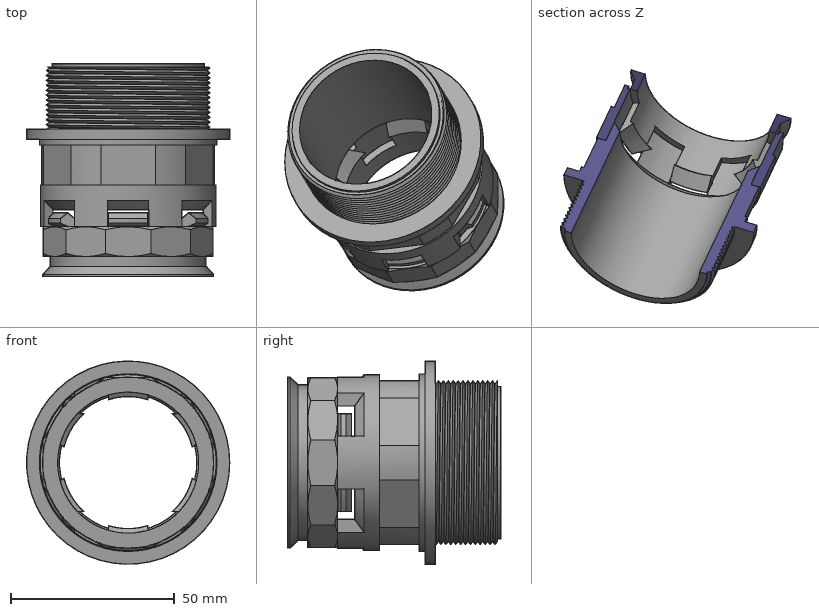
import cadquery as cq
import math


TOTAL_LENGTH = 64.97

SECTOR_ANGLE = math.radians(30)
SLEEVE_RADIUS = 23.8
NECK_START_Y = 20.4
FINGER_ROOT_Y = 7.1

BORE_RADIUS = 20.9
BORE_START_Y = 23.4
HEX_ACROSS_FLATS = 50.0
HEX_ROUND_RADIUS = 26.35
COLLAR_RADIUS = 27.1
COLLAR_START_Y = 40.1
FLANGE_RADIUS = 31.0
FLANGE_START_Y = 41.9
FLANGE_END_Y = 45.0
THREAD_RADIUS = 25.0
THREAD_PITCH = 1.5
THREAD_ROOT_RADIUS = 24.1
THREAD_END_Y = 64.0
THREAD_START_ANGLE = 143.0
RIDGE_HALF_WIDTH = 0.68
RIDGE_OVERLAP = 0.05
RIDGE_EXTRA_TURNS = 2.3
END_RADIUS = 23.25

CAP_START_Y = 6.1
CAP_END_Y = 28.0
COUNTERBORE_RADIUS = 24.6
PRISM_SIDES = 12
PRISM_APOTHEM = 25.9
PRISM_END_RADIUS = 25.85
PRISM_CHAMFER_LENGTH = 0.95
CAGE_RADIUS = 26.85
CAGE_START_Y = 15.25
WINDOW_OUTER_END_Y = 23.3
WINDOW_HALF_WIDTH = 6.25
WINDOW_SIDE_OFFSET = 5.8
WINDOW_SIDE_X = 16.4

ENTRY_RADIUS = 21.5
LIP_RADIUS = 26.1
LIP_EDGE_Y = 0.7
LIP_BACK_Y = 3.15
FINGER_HALF_WIDTH = 6.05
FINGER_SIDE_OFFSET = 5.65
FINGER_TOP_Z = 14.95
TOOTH_START_Y = 14.8
TOOTH_RADIUS = 20.1
TOOTH_TIP_Y = 15.6
FINGER_PEAK_RADIUS = 23.7
FINGER_PEAK_Y = 19.5
HOOK_RADIUS = 25.5
HOOK_BASE_Y = 15.4
HOOK_START_Y = 16.3
HOOK_END_Y = 17.7

REACH = 40.0


def revolved(points):
    """Solid of revolution about Y from (radius, y) points."""
    return cq.Workplane("XY").polyline(points).close().revolve(360, (0, 0, 0), (0, 1, 0))


def tube(outer, inner, start_y, end_y):
    return revolved([(inner, start_y), (outer, start_y), (outer, end_y), (inner, end_y)])


def prism(points, start_y, end_y):
    """Prism along Y with an outline of (x, z) points."""
    outline = cq.Workplane("XZ", origin=(0, end_y, 0)).polyline(points).close()
    return outline.extrude(end_y - start_y)


def regular_prism(sides, apothem, turn, start_y, end_y):
    """Regular prism along Y, turned about its axis from a corner on +X."""
    corner_diameter = 2 * apothem / math.cos(math.pi / sides)
    outline = cq.Workplane("XZ", origin=(0, end_y, 0)).transformed(rotate=(0, 0, turn))
    return outline.polygon(sides, corner_diameter).extrude(end_y - start_y)




def low_side(offset, distance):
    """Point on the side next to the horizontal plane, parallel to the sector centre line."""
    x = distance * math.cos(SECTOR_ANGLE) + offset * math.sin(SECTOR_ANGLE)
    z = distance * math.sin(SECTOR_ANGLE) - offset * math.cos(SECTOR_ANGLE)
    return (x, z)


def lateral_window_outline():
    corner_run = WINDOW_SIDE_X - WINDOW_SIDE_OFFSET * math.sin(SECTOR_ANGLE)
    return [
        low_side(WINDOW_SIDE_OFFSET, corner_run / math.cos(SECTOR_ANGLE)),
        low_side(WINDOW_SIDE_OFFSET, REACH),
        (REACH, REACH),
        (WINDOW_SIDE_X, REACH),
    ]


def lateral_finger_outline():
    return [
        low_side(FINGER_SIDE_OFFSET, 0),
        low_side(FINGER_SIDE_OFFSET, REACH),
        (REACH, FINGER_TOP_Z),
        (0, FINGER_TOP_Z),
    ]


def six_sectors(half_width, lateral_outline, start_y, end_y):
    """Top and bottom sectors, and the lateral sector mirrored into four quadrants."""
    sectors = cq.Workplane("XY")
    for z_sign in (1, -1):
        far = z_sign * REACH
        upright = [(-half_width, 0), (half_width, 0), (half_width, far), (-half_width, far)]
        sectors = sectors.add(prism(upright, start_y, end_y))
        for x_sign in (1, -1):
            points = [(x_sign * x, z_sign * z) for x, z in lateral_outline]
            sectors = sectors.add(prism(points, start_y, end_y))
    return sectors.combine()




def make_neck():
    """Neck inside the cap, with a flared mouth."""
    return revolved([
        (BORE_RADIUS, BORE_START_Y),
        (SLEEVE_RADIUS, NECK_START_Y),
        (SLEEVE_RADIUS, CAP_END_Y),
        (BORE_RADIUS, CAP_END_Y),
    ])


def make_hexagon():
    hexagon = regular_prism(6, HEX_ACROSS_FLATS / 2, 0, CAP_END_Y, COLLAR_START_Y)
    return hexagon.intersect(tube(HEX_ROUND_RADIUS, BORE_RADIUS, CAP_END_Y, COLLAR_START_Y))


def make_thread_ridge():
    """Left-handed sharp ridge, cut level with the flange and with the end of the thread."""
    base_radius = THREAD_ROOT_RADIUS - RIDGE_OVERLAP
    flank_slope = RIDGE_HALF_WIDTH / (THREAD_RADIUS - THREAD_ROOT_RADIUS)
    base_half_width = flank_slope * (THREAD_RADIUS - base_radius)
    length = THREAD_END_Y - FLANGE_END_Y + RIDGE_EXTRA_TURNS * THREAD_PITCH
    helix = cq.Wire.makeHelix(THREAD_PITCH, length, THREAD_ROOT_RADIUS, lefthand=True)
    ridge = (
        cq.Workplane("XZ")
        .polyline([
            (base_radius, -base_half_width),
            (THREAD_RADIUS, 0),
            (base_radius, base_half_width),
        ])
        .close()
        .sweep(cq.Workplane(helix), isFrenet=True)
    )
    ridge = ridge.rotate((0, 0, 0), (0, 0, 1), THREAD_START_ANGLE)
    ridge = ridge.rotate((0, 0, 0), (1, 0, 0), -90)
    ridge = ridge.translate((0, FLANGE_END_Y - THREAD_PITCH, 0))
    return ridge.intersect(tube(REACH, BORE_RADIUS, FLANGE_END_Y, THREAD_END_Y))


def make_base():
    connection = revolved([
        (BORE_RADIUS, COLLAR_START_Y),
        (COLLAR_RADIUS, COLLAR_START_Y),
        (COLLAR_RADIUS, FLANGE_START_Y),
        (FLANGE_RADIUS, FLANGE_START_Y),
        (FLANGE_RADIUS, FLANGE_END_Y),
        (THREAD_ROOT_RADIUS, FLANGE_END_Y),
        (THREAD_ROOT_RADIUS, THREAD_END_Y),
        (END_RADIUS, THREAD_END_Y),
        (END_RADIUS, TOTAL_LENGTH),
        (BORE_RADIUS, TOTAL_LENGTH),
    ])
    return connection.union(make_thread_ridge()).union(make_hexagon()).union(make_neck())




def make_wrench_section():
    """Twelve-sided section with turned edges and a counterbored entry."""
    corner_radius = PRISM_APOTHEM / math.cos(math.pi / PRISM_SIDES)
    turned = revolved([
        (COUNTERBORE_RADIUS, CAP_START_Y),
        (PRISM_END_RADIUS, CAP_START_Y),
        (corner_radius, CAP_START_Y + PRISM_CHAMFER_LENGTH),
        (corner_radius, CAGE_START_Y - PRISM_CHAMFER_LENGTH),
        (PRISM_END_RADIUS, CAGE_START_Y),
        (SLEEVE_RADIUS, CAGE_START_Y),
        (SLEEVE_RADIUS, FINGER_ROOT_Y),
        (COUNTERBORE_RADIUS, FINGER_ROOT_Y),
    ])
    flat_up = 180 / PRISM_SIDES
    return turned.intersect(
        regular_prism(PRISM_SIDES, PRISM_APOTHEM, flat_up, CAP_START_Y, CAGE_START_Y)
    )


def make_windows():
    """Six window cutters whose end wall slopes inward."""
    slope = (WINDOW_OUTER_END_Y - NECK_START_Y) / (CAGE_RADIUS - SLEEVE_RADIUS)
    end_y = NECK_START_Y + slope * (REACH - SLEEVE_RADIUS)
    window_zone = revolved([
        (0, CAGE_START_Y),
        (REACH, CAGE_START_Y),
        (REACH, end_y),
        (SLEEVE_RADIUS, NECK_START_Y),
        (0, NECK_START_Y),
    ])
    sectors = six_sectors(WINDOW_HALF_WIDTH, lateral_window_outline(), CAGE_START_Y, end_y)
    return sectors.intersect(window_zone)


def make_cap():
    cage = tube(CAGE_RADIUS, SLEEVE_RADIUS, CAGE_START_Y, CAP_END_Y).cut(make_windows())
    return make_wrench_section().union(cage)




def make_insert():
    lip = revolved([
        (ENTRY_RADIUS, 0),
        (LIP_RADIUS, 0),
        (LIP_RADIUS, LIP_EDGE_Y),
        (SLEEVE_RADIUS, LIP_BACK_Y),
        (SLEEVE_RADIUS, FINGER_ROOT_Y),
        (ENTRY_RADIUS, FINGER_ROOT_Y),
    ])
    finger_ring = revolved([
        (ENTRY_RADIUS, FINGER_ROOT_Y),
        (SLEEVE_RADIUS, FINGER_ROOT_Y),
        (SLEEVE_RADIUS, HOOK_BASE_Y),
        (HOOK_RADIUS, HOOK_START_Y),
        (HOOK_RADIUS, HOOK_END_Y),
        (FINGER_PEAK_RADIUS, FINGER_PEAK_Y),
        (TOOTH_RADIUS, TOOTH_TIP_Y),
        (ENTRY_RADIUS, TOOTH_START_Y),
    ])
    sectors = six_sectors(FINGER_HALF_WIDTH, lateral_finger_outline(), FINGER_ROOT_Y, FINGER_PEAK_Y)
    return lip.union(finger_ring.intersect(sectors))


base = make_base()
cap = make_cap()
insert = make_insert()

result = cq.Compound.makeCompound([base.val(), cap.val(), insert.val()])